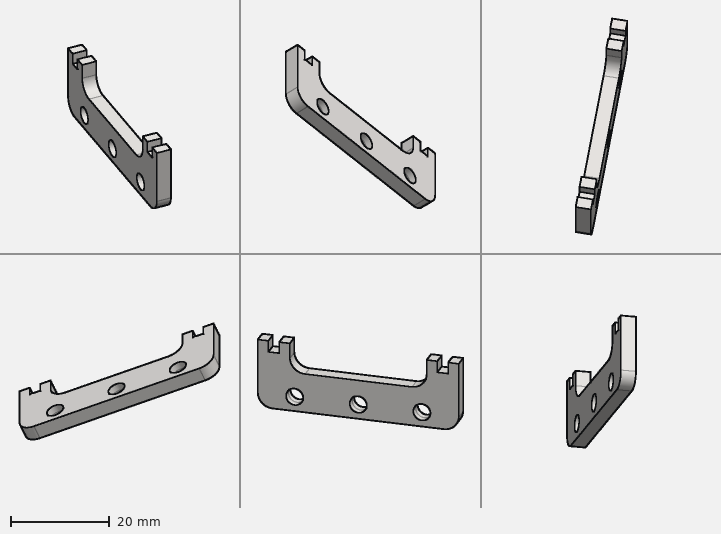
import cadquery as cq

length = 42.67
thickness = 3.17
height = 14.85
corner_radius = 3.17

arm_width = 6.83
recess_depth = 6.35
recess_width = length - 2 * arm_width
recess_floor = height - recess_depth

slot_width = 2.29
slot_depth = 2.45
slot_offset = (length - arm_width) / 2

hole_diameter = 3.6
hole_spacing = 13.5
hole_count = 3
hole_height = 3.17


def block(width, bottom, top, center_x=0):
    """Full-thickness block between two heights, centred on center_x."""
    return (
        cq.Workplane("XY")
        .box(width, thickness, top - bottom, centered=(True, True, False))
        .translate((center_x, 0, bottom))
    )


def plate():
    """Plain plate with its two lower corners rounded."""
    return block(length, 0, height).faces("<Z").edges("|Y").fillet(corner_radius)


def recess():
    """Central recess with rounded lower corners."""
    return block(recess_width, recess_floor, height).faces("<Z").edges("|Y").fillet(corner_radius)


def holes():
    """Row of cylinders running through the thickness."""
    first_x = -hole_spacing * (hole_count - 1) / 2
    centers = [(first_x + i * hole_spacing, hole_height) for i in range(hole_count)]
    return (
        cq.Workplane("XZ")
        .pushPoints(centers)
        .circle(hole_diameter / 2)
        .extrude(thickness, both=True)
    )


result = plate().cut(recess()).cut(holes())
for side in (-1, 1):
    result = result.cut(block(slot_width, height - slot_depth, height, side * slot_offset))